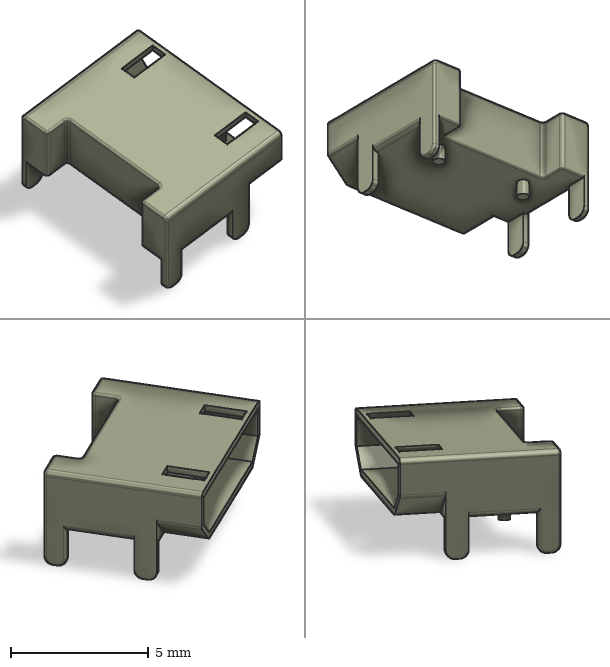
import cadquery as cq

width = 7.4
length = 6.01
leg_drop = 1.53
overall_height = 3.9
body_height = overall_height - leg_drop
wall = 0.26
edge_radius = 0.2
rear_y = length / 2
front_y = -rear_y

notch_width = 4.75
notch_depth = 1.05
notch_y = front_y + notch_depth
notch_corner_radius = 0.15
front_rim_radius = edge_radius / 2
front_bottom_radius = 0.06
selection_margin = 0.075

leg_width = 0.86
leg_tip_radius = 0.35
leg_top = body_height / 2
rear_leg_y = 0.865
front_leg_y = front_y + leg_width / 2

taper = 0.925
cavity_taper = 0.695
taper_start_y = rear_leg_y + leg_width / 2

cavity_depth = 3.995
cavity_back_y = rear_y - cavity_depth
tongue_width = 3.49
tongue_thickness = 0.62
tongue_recess = 0.89
tongue_bottom = 1.185

window_width = 0.64
window_length = 1.6
window_x = 2.37
window_y = 2.005

peg_diameter = 0.45
peg_length = 0.59
peg_x = 2.0
peg_y = -1.265


def box_between(x_size, y_min, y_max, z_min, z_max):
    """Box centred on X, given by its limits along Y and Z."""
    box = cq.Workplane("XY").box(x_size, y_max - y_min, z_max - z_min, centered=(True, False, False))
    return box.translate((0, y_min, z_min))


def tapered_bar(half_width, bottom, top, corner, y_start):
    """Bar from y_start to the rear face, with its two lower corners cut at 45 degrees."""
    outline = [
        (-half_width, top),
        (-half_width, bottom + corner),
        (-half_width + corner, bottom),
        (half_width - corner, bottom),
        (half_width, bottom + corner),
        (half_width, top),
    ]
    section = cq.Workplane("XZ", origin=(0, rear_y, 0)).polyline(outline).close()
    return section.extrude(rear_y - y_start)


def rear_section():
    """Tapered rear part of the body with rounded long edges."""
    bar = tapered_bar(width / 2, 0, body_height, taper, taper_start_y)
    return bar.edges("|Y").fillet(edge_radius)


def edges_near_front(x_size):
    """Selector for edges centred within the notch depth of the front face and within x_size."""
    reach = x_size / 2 + selection_margin
    back_limit = notch_y + selection_margin
    return cq.selectors.BoxSelector(
        (-reach, front_y - selection_margin, -selection_margin),
        (reach, back_limit, body_height + selection_margin),
    )


def front_block():
    """Closed front part of the body with its notch and rounded edges."""
    block = box_between(width, front_y, taper_start_y, 0, body_height)
    block = block.cut(box_between(notch_width, front_y, notch_y, 0, body_height))
    notch_corners = edges_near_front(notch_width)
    block = block.edges("|Z").edges(notch_corners).fillet(notch_corner_radius)
    block = block.edges("|Y and >Z").edges(">X or <X").fillet(edge_radius)

    front_edges = edges_near_front(width)
    block = block.edges(front_edges).edges(">Z").fillet(front_rim_radius)
    block = block.edges(front_edges).edges("<Z").fillet(front_bottom_radius)

    rounded_bar = box_between(width, front_y, taper_start_y, 0, body_height)
    return block.intersect(rounded_bar.edges("|Y").fillet(edge_radius))


def leg(y_center, side):
    """Flat leg flush with the side wall; side is -1 or +1 along X."""
    plate = cq.Workplane("XY").box(wall, leg_width, leg_top + leg_drop)
    center_x = side * (width - wall) / 2
    plate = plate.translate((center_x, y_center, (leg_top - leg_drop) / 2))
    return plate.edges("|X and <Z").fillet(leg_tip_radius)


def front_leg(side):
    """Leg whose outer face also has a rounded rim."""
    rim = "<X" if side < 0 else ">X"
    plate = leg(front_leg_y, side)
    return plate.faces(rim).edges("not >Z").fillet(front_rim_radius)


def plug_cavity():
    """Space open to the rear, narrowing at the bottom, less the contact tongue."""
    cavity = tapered_bar(width / 2 - wall, wall, body_height - wall, cavity_taper, cavity_back_y)
    tongue_tip_y = rear_y - tongue_recess
    tongue_top = tongue_bottom + tongue_thickness
    tongue = box_between(tongue_width, cavity_back_y, tongue_tip_y, tongue_bottom, tongue_top)
    return cavity.cut(tongue)


def windows():
    """Pair of rectangular openings through the top wall."""
    top = cq.Workplane("XY", origin=(0, window_y, body_height))
    points = [(-window_x, 0), (window_x, 0)]
    return top.pushPoints(points).rect(window_width, window_length).extrude(-wall)


def pegs():
    """Pair of round locating pegs under the body."""
    underside = cq.Workplane("XY", origin=(0, peg_y, 0))
    points = [(-peg_x, 0), (peg_x, 0)]
    return underside.pushPoints(points).circle(peg_diameter / 2).extrude(-peg_length)


result = front_block().union(rear_section())
for side in (-1, 1):
    result = result.union(leg(rear_leg_y, side)).union(front_leg(side))
result = result.union(pegs()).cut(plug_cavity()).cut(windows())